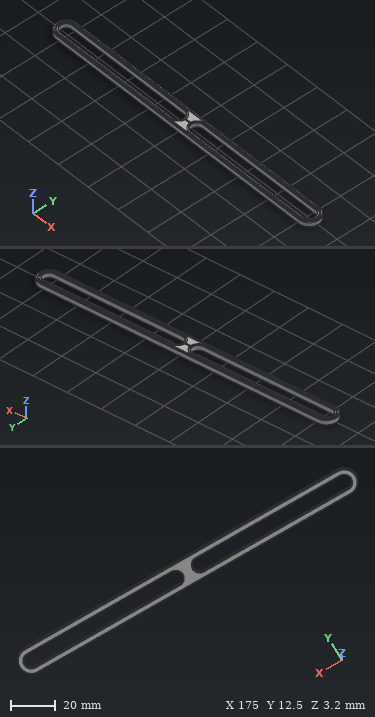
import cadquery as cq

length = 175.0
width = 12.5
height = 3.2

window_width = 7.0
wall = (width - window_width) / 2
bridge = 2 * wall
window_length = (length - 2 * wall - bridge) / 2
window_offset = (window_length + bridge) / 2
window_centres = [(-window_offset, 0), (window_offset, 0)]

outer_chamfer = 0.4
window_chamfer = 0.26
chamfer_angle = 45

outer_rim = 1.0
window_lip = 1.0
recess_depth = 0.4
rib_width = 0.4


def outer_body():
    """Round-ended plate with both outer edges chamfered."""
    plate = cq.Workplane("XY").slot2D(length, width).extrude(height)
    return plate.faces("<Z or >Z").edges().chamfer(outer_chamfer)


def window_prisms(margin, depth, taper=0):
    """Both window outlines, grown outwards by margin, extruded up from the bottom face."""
    outlines = cq.Workplane("XY").pushPoints(window_centres)
    slots = outlines.slot2D(window_length + 2 * margin, window_width + 2 * margin)
    return slots.extrude(depth, taper=taper)


def window_flares():
    """Tapered cuts that chamfer the window edges on the top and bottom faces."""
    bottom = window_prisms(window_chamfer, window_chamfer, chamfer_angle)
    return bottom.union(bottom.mirror("XY", (0, 0, height / 2)))


def recess():
    """Recess volume: inside the rim, outside the lips, split by a rib across the bridge."""
    floor = cq.Workplane("XY").workplane(offset=height - recess_depth)
    pocket = floor.slot2D(length - 2 * outer_rim, width - 2 * outer_rim).extrude(recess_depth)
    rib = floor.rect(bridge, rib_width).extrude(recess_depth)
    return pocket.cut(window_prisms(window_lip, height)).cut(rib)


result = outer_body().cut(window_prisms(0, height)).cut(window_flares()).cut(recess())